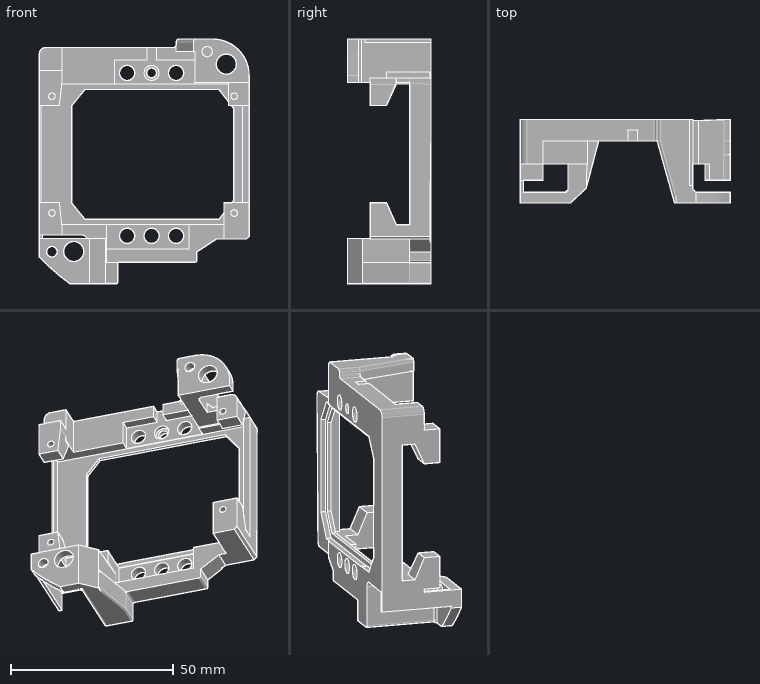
import cadquery as cq

FRAME_DEPTH = 6.65
BLOCK_DEPTH = 13.75
POST_DEPTH = 18.8
ARM_DEPTH = 25.8
TAB_THICKNESS = 3.4
TAB_BACK = ARM_DEPTH - TAB_THICKNESS
RECESS_FLOOR = 3.0
LIP_THICKNESS = 1.2
POCKET_FLOOR = 3.25
RIGHT_BACK_STEP = 0.3

WIDTH = 64.8
HEIGHT = 75.5
FRAME_TOP = 72.85
RIGHT_CORNER_TOP = 63.4
RIGHT_CORNER_BOTTOM = 13.75
BAR_BOTTOM = 6.65
BAR_RIGHT = 48.6
BAR_SLOPE_LEFT_Z = 9.8
BAR_SLOPE_RIGHT = 54.6
BOTTOM_CHAMFER = 0.9
BAR_CORNER_RADIUS = 0.5
CORNER_RADIUS = 2.05

RECESS_LEFT, RECESS_RIGHT = 0.6, 62.7
RECESS_BOTTOM, RECESS_TOP = 18.3, 61.5
WINDOW_LEFT, WINDOW_RIGHT = 10.05, 59.95
WINDOW_BOTTOM, WINDOW_TOP = 19.9, 59.9
WINDOW_CUT_LEFT = 4.1
WINDOW_CUT_RIGHT = 4.5
WINDOW_CUT_HEIGHT = 5.0
WINDOW_CUT_HEIGHT_RIGHT = 5.9
REBATE_WIDTH = 1.8
WINDOW_OUTLINE = [
    (WINDOW_LEFT + WINDOW_CUT_LEFT, WINDOW_BOTTOM),
    (WINDOW_RIGHT - WINDOW_CUT_RIGHT, WINDOW_BOTTOM),
    (WINDOW_RIGHT, WINDOW_BOTTOM + WINDOW_CUT_HEIGHT_RIGHT),
    (WINDOW_RIGHT, WINDOW_TOP - WINDOW_CUT_HEIGHT_RIGHT),
    (WINDOW_RIGHT - WINDOW_CUT_RIGHT, WINDOW_TOP),
    (WINDOW_LEFT + WINDOW_CUT_LEFT, WINDOW_TOP),
    (WINDOW_LEFT, WINDOW_TOP - WINDOW_CUT_HEIGHT),
    (WINDOW_LEFT, WINDOW_BOTTOM + WINDOW_CUT_HEIGHT),
]

UPPER_POCKET_LEFT, UPPER_POCKET_TOP = 23.25, 69.0
NOTCH_LEFT, NOTCH_RIGHT = 33.2, 36.25
LOWER_POCKET_LEFT, LOWER_POCKET_RIGHT = 20.8, 46.2
LOWER_POCKET_BOTTOM = 10.7
BAR_HOLE_X = 34.65
BAR_HOLE_PITCH = 7.55
UPPER_HOLE_Z, LOWER_HOLE_Z = 65.0, 14.8
BAR_HOLE_DIAMETER = 4.6
SMALL_BAR_HOLE_DIAMETER = 2.95
COUNTERBORE_DEPTH = 1.5

POST_TIP_LOW, POST_TIP_HIGH = 25.1, 55.0
UPPER_POST_TOP = 65.75
LOWER_POST_BOTTOM = 15.0
LEFT_POST_ROOT, LEFT_POST_TIP = 7.1, 6.2
LOWER_TAPER_START, UPPER_TAPER_START = 17.0, 62.8
UPPER_RIGHT_POST_LEFT = 58.3
LOWER_RIGHT_POST_LEFT = 56.9
RAMP_START_DEPTH = 10.7
SCREW_X = (3.9, 60.1)
SCREW_Z = (21.8, 57.8)
SCREW_DIAMETER = 2.05
SCREW_DEPTH = 5.0

UPPER_ARM_LEFT, UPPER_ARM_RIGHT = 48.0, 53.2
UPPER_ARM_BOTTOM = 62.0
UPPER_TAB_RADIUS = 11.3
UPPER_WEDGE_BOTTOM = 71.65
UPPER_WEDGE_BACK, UPPER_WEDGE_FRONT = 42.2, 47.6
WEDGE_FILLET = 1.0
ARM_CHAMFER = 1.05
TAB_GUSSET = 1.0
ROOT_GUSSET = 1.8
UPPER_TAB_HOLE = (57.7, 67.7)
UPPER_TAB_PIN = (51.8, 71.6)

LOWER_ARM_LEFT, LOWER_ARM_RIGHT = 14.95, 20.4
LOWER_ARM_TOP = 14.05
LOWER_ARM_BEVEL_X, LOWER_ARM_BEVEL_DEPTH = 15.5, 21.2
LOWER_WEDGE_RIGHT = 24.2
LOWER_WEDGE_FILLET = 0.45
LOWER_BODY_FILLET = 0.7
LOWER_TAB_GUSSET = 0.75
SIDE_WALL_THICKNESS = 1.05
SIDE_WALL_BOTTOM = 8.8
LOWER_TAB_CUT_X, LOWER_TAB_CUT_Z = 9.4, 8.3
LOWER_TAB_CURVE_MIDDLE = (4.5, 3.9)
VOID_FILLET = 1.9
LOWER_TAB_HOLE = (10.65, 10.0)
LOWER_TAB_PIN = (3.9, 9.9)

TAB_HOLE_DIAMETER = 6.1
TAB_PIN_DIAMETER = 3.2


def front_prism(points, back, front):
    """Extrude an (x, z) outline between two depths."""
    plane = cq.Workplane("XZ", origin=(0, -back, 0))
    return plane.polyline(points).close().extrude(front - back)


def plan_prism(points, bottom, top):
    """Extrude an (x, depth) outline between two heights."""
    outline = [(x, -depth) for x, depth in points]
    return cq.Workplane("XY", origin=(0, 0, bottom)).polyline(outline).close().extrude(top - bottom)


def side_prism(points, left, right):
    """Extrude a (depth, z) outline between two X positions."""
    outline = [(-depth, z) for depth, z in points]
    return cq.Workplane("YZ", origin=(left, 0, 0)).polyline(outline).close().extrude(right - left)


def block(left, right, back, front, bottom, top):
    corners = [(left, bottom), (right, bottom), (right, top), (left, top)]
    return front_prism(corners, back, front)


def bore(center, diameter, back, front):
    plane = cq.Workplane("XZ", origin=(0, -back, 0))
    return plane.center(*center).circle(diameter / 2).extrude(front - back)


def edge_along_y(x, z, reach=0.15):
    """Select the edges parallel to Y that pass through (x, z)."""
    corner = (x - reach, -ARM_DEPTH - 0.75, z - reach)
    opposite = (x + reach, 0.75, z + reach)
    return cq.selectors.BoxSelector(corner, opposite)


def make_frame():
    outline = [
        (0, SIDE_WALL_BOTTOM),
        (LOWER_ARM_LEFT, SIDE_WALL_BOTTOM),
        (LOWER_ARM_LEFT, BAR_BOTTOM),
        (BAR_RIGHT, BAR_BOTTOM),
        (BAR_RIGHT, BAR_SLOPE_LEFT_Z),
        (BAR_SLOPE_RIGHT, RIGHT_CORNER_BOTTOM),
        (WIDTH, RIGHT_CORNER_BOTTOM),
        (WIDTH, RIGHT_CORNER_TOP),
        (UPPER_ARM_LEFT, RIGHT_CORNER_TOP),
        (UPPER_ARM_LEFT, FRAME_TOP),
        (0, FRAME_TOP),
    ]
    frame = front_prism(outline, 0, FRAME_DEPTH)
    frame = frame.edges(edge_along_y(BAR_RIGHT, BAR_BOTTOM)).fillet(BAR_CORNER_RADIUS)
    recess = block(RECESS_LEFT, RECESS_RIGHT, RECESS_FLOOR, FRAME_DEPTH, RECESS_BOTTOM, RECESS_TOP)
    window = front_prism(WINDOW_OUTLINE, 0, FRAME_DEPTH)
    rebate_plane = cq.Workplane("XZ").polyline(WINDOW_OUTLINE).close()
    rebate = rebate_plane.offset2D(REBATE_WIDTH, "intersection").extrude(RECESS_FLOOR - LIP_THICKNESS)
    return frame.cut(recess).cut(window).cut(rebate)


def cut_bar_pockets(frame):
    pockets = [
        (UPPER_POCKET_LEFT, UPPER_ARM_LEFT, RECESS_TOP, UPPER_POCKET_TOP),
        (NOTCH_LEFT, NOTCH_RIGHT, UPPER_POCKET_TOP, FRAME_TOP),
        (LOWER_POCKET_LEFT, LOWER_POCKET_RIGHT, LOWER_POCKET_BOTTOM, RECESS_BOTTOM),
    ]
    for left, right, bottom, top in pockets:
        frame = frame.cut(block(left, right, POCKET_FLOOR, FRAME_DEPTH, bottom, top))
    return frame


def drill_bars(frame):
    for z in (UPPER_HOLE_Z, LOWER_HOLE_Z):
        for step in (-1, 0, 1):
            center = (BAR_HOLE_X + step * BAR_HOLE_PITCH, z)
            if z == UPPER_HOLE_Z and step == 0:
                frame = frame.cut(bore(center, SMALL_BAR_HOLE_DIAMETER, 0, POCKET_FLOOR))
                seat = POCKET_FLOOR - COUNTERBORE_DEPTH
                frame = frame.cut(bore(center, BAR_HOLE_DIAMETER, seat, POCKET_FLOOR))
            else:
                frame = frame.cut(bore(center, BAR_HOLE_DIAMETER, 0, POCKET_FLOOR))
    return frame


def post(left, right, root, tip, end):
    """Post from its outer end to its tip, with a sloped brace back to the frame."""
    brace = [
        (0, end),
        (0, root),
        (RAMP_START_DEPTH, root),
        (BLOCK_DEPTH, tip),
        (POST_DEPTH, tip),
        (POST_DEPTH, end),
    ]
    return side_prism(brace, left, right)


def left_post(root, taper_start, tip, end):
    """Left post, narrowing from its root to its tip."""
    taper = front_prism(
        [(0, end), (LEFT_POST_ROOT, end), (LEFT_POST_ROOT, taper_start), (LEFT_POST_TIP, tip), (0, tip)],
        0,
        POST_DEPTH,
    )
    return post(0, LEFT_POST_ROOT, root, tip, end).intersect(taper)


def add_posts(frame):
    upper_left = block(0, LEFT_POST_ROOT, 0, BLOCK_DEPTH, RECESS_TOP, FRAME_TOP)
    upper_right = block(UPPER_ARM_LEFT, WIDTH, 0, BLOCK_DEPTH, UPPER_ARM_BOTTOM, RIGHT_CORNER_TOP)
    lower_left = block(0, LOWER_POCKET_LEFT, 0, BLOCK_DEPTH, LOWER_ARM_TOP, RECESS_BOTTOM)
    frame = frame.union(upper_left).union(upper_right).union(lower_left)
    frame = frame.union(left_post(RECESS_TOP, UPPER_TAPER_START, POST_TIP_HIGH, UPPER_POST_TOP))
    frame = frame.union(left_post(RECESS_BOTTOM, LOWER_TAPER_START, POST_TIP_LOW, LOWER_POST_BOTTOM))
    frame = frame.union(post(UPPER_RIGHT_POST_LEFT, WIDTH, UPPER_ARM_BOTTOM, POST_TIP_HIGH, RIGHT_CORNER_TOP))
    frame = frame.union(post(LOWER_RIGHT_POST_LEFT, WIDTH, RECESS_BOTTOM, POST_TIP_LOW, RIGHT_CORNER_BOTTOM))
    frame = frame.edges(edge_along_y(0, FRAME_TOP)).fillet(CORNER_RADIUS)
    frame = frame.edges(edge_along_y(WIDTH, RIGHT_CORNER_TOP)).fillet(CORNER_RADIUS)
    frame = frame.edges(edge_along_y(WIDTH, RIGHT_CORNER_BOTTOM)).chamfer(BOTTOM_CHAMFER)
    for x in SCREW_X:
        for z in SCREW_Z:
            frame = frame.cut(bore((x, z), SCREW_DIAMETER, POST_DEPTH - SCREW_DEPTH, POST_DEPTH))
    return frame


def corner_fillet(x, z, radius, toward_x, toward_z, front=FRAME_DEPTH):
    """Web between a square corner at (x, z) and an arc, from the back to the given depth."""
    end_x = x + toward_x * radius
    end_z = z + toward_z * radius
    square = block(min(x, end_x), max(x, end_x), 0, front, min(z, end_z), max(z, end_z))
    return square.cut(bore((end_x, end_z), 2 * radius, 0, front))


def make_upper_arm():
    body = plan_prism(
        [
            (UPPER_ARM_LEFT, 0),
            (UPPER_ARM_RIGHT, 0),
            (UPPER_ARM_RIGHT, TAB_BACK - TAB_GUSSET),
            (UPPER_ARM_RIGHT + TAB_GUSSET, TAB_BACK),
            (UPPER_ARM_RIGHT + TAB_GUSSET, ARM_DEPTH),
            (UPPER_ARM_LEFT, ARM_DEPTH),
        ],
        UPPER_ARM_BOTTOM,
        HEIGHT,
    )
    edge_bevel = front_prism(
        [
            (UPPER_ARM_RIGHT - ARM_CHAMFER, HEIGHT),
            (UPPER_ARM_RIGHT, HEIGHT),
            (UPPER_ARM_RIGHT, HEIGHT - ARM_CHAMFER),
        ],
        0,
        TAB_BACK - TAB_GUSSET - ARM_CHAMFER,
    )
    wedge = plan_prism(
        [
            (UPPER_WEDGE_BACK, 0),
            (UPPER_WEDGE_BACK, FRAME_DEPTH),
            (UPPER_WEDGE_FRONT, ARM_DEPTH),
            (UPPER_ARM_RIGHT - ARM_CHAMFER, ARM_DEPTH),
            (UPPER_ARM_RIGHT - ARM_CHAMFER, 0),
        ],
        UPPER_WEDGE_BOTTOM,
        HEIGHT,
    )
    left_faces = cq.selectors.BoxSelector(
        (UPPER_WEDGE_BACK - 0.75, -ARM_DEPTH + 0.75, HEIGHT - 0.75), (UPPER_WEDGE_FRONT, -0.75, HEIGHT + 0.75)
    )
    wedge = wedge.edges(left_faces).fillet(WEDGE_FILLET)
    tab = block(UPPER_ARM_LEFT, WIDTH, TAB_BACK, ARM_DEPTH, UPPER_ARM_BOTTOM, HEIGHT)
    tab = tab.edges(edge_along_y(WIDTH, HEIGHT)).fillet(UPPER_TAB_RADIUS)
    root_gusset = front_prism(
        [
            (UPPER_ARM_RIGHT, RIGHT_CORNER_TOP),
            (UPPER_ARM_RIGHT + ROOT_GUSSET, RIGHT_CORNER_TOP),
            (UPPER_ARM_RIGHT, RIGHT_CORNER_TOP + ROOT_GUSSET),
        ],
        RIGHT_BACK_STEP,
        BLOCK_DEPTH,
    )
    arm = body.cut(edge_bevel).union(wedge).union(tab).union(root_gusset)
    arm = arm.union(corner_fillet(UPPER_WEDGE_BACK, FRAME_TOP, WEDGE_FILLET, -1, 1))
    arm = arm.cut(bore(UPPER_TAB_HOLE, TAB_HOLE_DIAMETER, TAB_BACK, ARM_DEPTH))
    return arm.cut(bore(UPPER_TAB_PIN, TAB_PIN_DIAMETER, TAB_BACK, ARM_DEPTH))


def make_lower_arm():
    body = plan_prism(
        [
            (LOWER_ARM_LEFT - LOWER_TAB_GUSSET, 0),
            (LOWER_POCKET_LEFT, 0),
            (LOWER_POCKET_LEFT, FRAME_DEPTH),
            (LOWER_ARM_RIGHT, LOWER_ARM_BEVEL_DEPTH),
            (LOWER_ARM_BEVEL_X, ARM_DEPTH),
            (LOWER_ARM_LEFT - LOWER_TAB_GUSSET, ARM_DEPTH),
        ],
        0,
        LOWER_ARM_TOP,
    )
    wedge = plan_prism(
        [
            (LOWER_ARM_LEFT, 0),
            (LOWER_WEDGE_RIGHT, 0),
            (LOWER_WEDGE_RIGHT, FRAME_DEPTH),
            (LOWER_ARM_RIGHT, LOWER_ARM_BEVEL_DEPTH),
            (LOWER_ARM_LEFT, LOWER_ARM_BEVEL_DEPTH),
        ],
        0,
        BAR_BOTTOM,
    )
    right_faces = cq.selectors.BoxSelector(
        (LOWER_ARM_RIGHT, -LOWER_ARM_BEVEL_DEPTH, -0.75), (LOWER_WEDGE_RIGHT + 0.75, -0.75, 0.75)
    )
    wedge = wedge.edges(right_faces).fillet(LOWER_WEDGE_FILLET)
    side_wall = block(0, SIDE_WALL_THICKNESS, 0, ARM_DEPTH, SIDE_WALL_BOTTOM, LOWER_ARM_TOP)
    tab = (
        cq.Workplane("XZ", origin=(0, -TAB_BACK, 0))
        .moveTo(0, LOWER_TAB_CUT_Z)
        .threePointArc(LOWER_TAB_CURVE_MIDDLE, (LOWER_TAB_CUT_X, 0))
        .lineTo(LOWER_ARM_BEVEL_X, 0)
        .lineTo(LOWER_ARM_BEVEL_X, LOWER_ARM_TOP)
        .lineTo(0, LOWER_ARM_TOP)
        .close()
        .extrude(TAB_THICKNESS)
    )
    arm = body.union(wedge).union(side_wall).union(tab)
    arm = arm.union(corner_fillet(LOWER_WEDGE_RIGHT, BAR_BOTTOM, LOWER_WEDGE_FILLET, 1, -1))
    arm = arm.cut(bore(LOWER_TAB_HOLE, TAB_HOLE_DIAMETER, TAB_BACK, ARM_DEPTH))
    return arm.cut(bore(LOWER_TAB_PIN, TAB_PIN_DIAMETER, TAB_BACK, ARM_DEPTH))


def make_arm_void():
    """Opening behind the lower tab, between its side wall and the arm body."""
    void = block(SIDE_WALL_THICKNESS, LOWER_ARM_LEFT, 0, TAB_BACK, 0, LOWER_POST_BOTTOM)
    void = void.edges(edge_along_y(LOWER_ARM_LEFT, LOWER_POST_BOTTOM)).fillet(VOID_FILLET)
    front_corner = cq.selectors.BoxSelector(
        (LOWER_ARM_LEFT - 0.1, -TAB_BACK - 0.1, 0), (LOWER_ARM_LEFT + 0.1, -TAB_BACK + 0.1, LOWER_POST_BOTTOM)
    )
    void = void.edges(front_corner).chamfer(LOWER_TAB_GUSSET)
    return void.union(corner_fillet(LOWER_ARM_LEFT, 0, LOWER_BODY_FILLET, 1, 1, TAB_BACK))


back_step = block(UPPER_ARM_RIGHT, WIDTH, 0, RIGHT_BACK_STEP, 0, HEIGHT)

frame = add_posts(drill_bars(cut_bar_pockets(make_frame()))).cut(back_step)
result = frame.union(make_upper_arm()).union(make_lower_arm()).cut(make_arm_void())